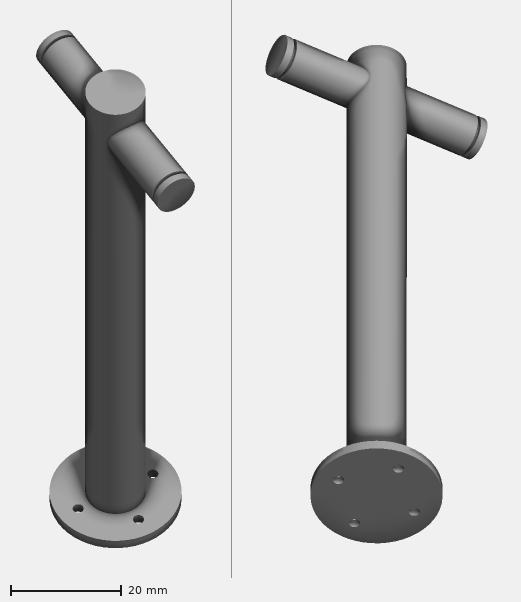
import cadquery as cq

total_height = 112.0
flange_diameter = 24.0
flange_thickness = 2.0

hole_count = 4
hole_diameter = 2.0
hole_circle_radius = 8.0

post_diameter = 11.0

bar_length = 42.0
bar_diameter = 8.0
bar_drop = 8.0
end_cap_length = 1.3
groove_width = 0.7
groove_depth = 0.8


def make_flange():
    """Round base plate with evenly spaced screw holes."""
    plate = cq.Workplane("XY").circle(flange_diameter / 2).extrude(flange_thickness)
    holes = (
        cq.Workplane("XY")
        .polarArray(hole_circle_radius, 0, 360, hole_count)
        .circle(hole_diameter / 2)
        .extrude(flange_thickness)
    )
    return plate.cut(holes)


def make_post():
    """Solid round post standing on the base plane."""
    return cq.Workplane("XY").circle(post_diameter / 2).extrude(total_height)


def bar_section(start_x, length, diameter):
    """Cylinder on the crossbar axis, running from start_x toward +X."""
    bar_height = total_height - bar_drop
    return (
        cq.Workplane("YZ", origin=(start_x, 0, bar_height))
        .circle(diameter / 2)
        .extrude(length)
    )


def make_crossbar():
    """Round bar with a square-bottomed ring groove behind each end cap."""
    half_length = bar_length / 2
    bar = bar_section(-half_length, bar_length, bar_diameter)
    core_diameter = bar_diameter - 2 * groove_depth
    left_groove_x = -half_length + end_cap_length
    right_groove_x = half_length - end_cap_length - groove_width
    for groove_x in (left_groove_x, right_groove_x):
        outer = bar_section(groove_x, groove_width, bar_diameter)
        core = bar_section(groove_x, groove_width, core_diameter)
        bar = bar.cut(outer.cut(core))
    return bar


result = make_flange().union(make_post()).union(make_crossbar())